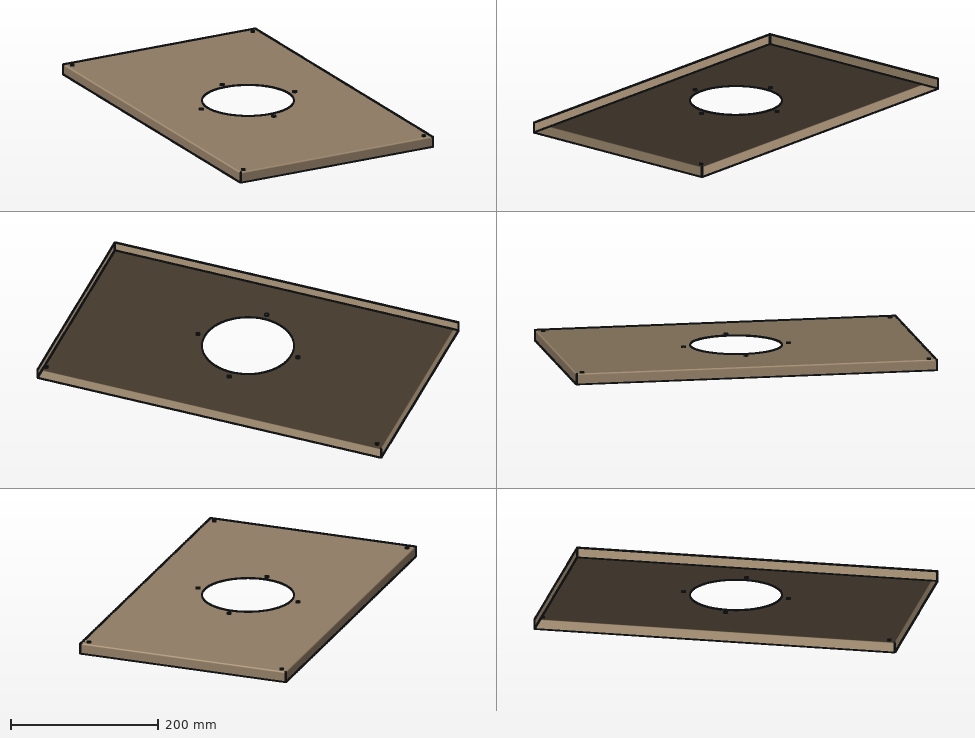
import cadquery as cq

length = 500.0
width = 300.0
height = 15.0
sheet = 1.0
inner_bend_radius = 1.0
outer_bend_radius = inner_bend_radius + sheet
corner_gap = 0.1
corner_notch = sheet + corner_gap

opening_diameter = 125.0
ring_hole_diameter = 5.0
ring_radius = 72.5
ring_hole_count = 4
corner_hole_diameter = 4.2
corner_hole_inset = 10.0


def rounded_block(block_length, block_width, block_height, bend_radius):
    """Block standing on Z = 0 with its top edges rounded."""
    block = cq.Workplane("XY").box(block_length, block_width, block_height, centered=(True, True, False))
    return block.faces(">Z").edges().fillet(bend_radius)


def corner_notches():
    """Square cutters that leave the four corners open, so the flanges do not meet."""
    return (
        cq.Workplane("XY")
        .rect(length, width, forConstruction=True)
        .vertices()
        .rect(2 * corner_notch, 2 * corner_notch)
        .extrude(height)
    )


def folded_pan():
    """Flat top with a downward flange along each side."""
    outside = rounded_block(length, width, height, outer_bend_radius)
    inside = rounded_block(length - 2 * sheet, width - 2 * sheet, height - sheet, inner_bend_radius)
    return outside.cut(inside).cut(corner_notches())


def hole_cutters():
    """Vertical cutters for the opening, its ring of holes and the corner holes."""
    base = cq.Workplane("XY")
    opening = base.circle(opening_diameter / 2).extrude(height)
    ring_holes = (
        base.polarArray(ring_radius, 0, 360, ring_hole_count)
        .circle(ring_hole_diameter / 2)
        .extrude(height)
    )
    corner_holes = (
        base.rect(length - 2 * corner_hole_inset, width - 2 * corner_hole_inset, forConstruction=True)
        .vertices()
        .circle(corner_hole_diameter / 2)
        .extrude(height)
    )
    return [opening, ring_holes, corner_holes]


result = folded_pan()
for cutter in hole_cutters():
    result = result.cut(cutter)